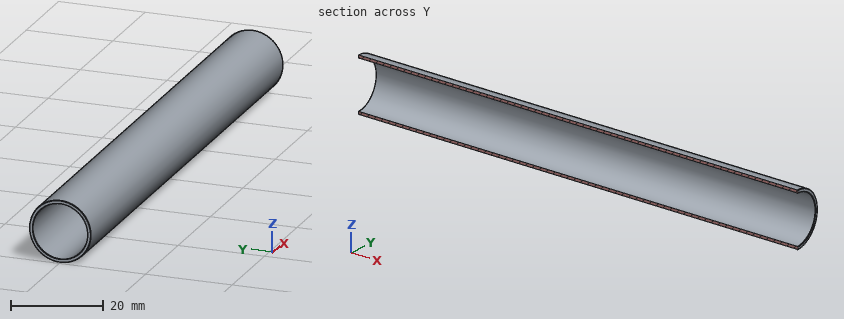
import cadquery as cq

length = 118.8
outer_diameter = 14.2
bore_diameter = 12.6
edge_chamfer = 0.13

tube = (
    cq.Workplane("YZ")
    .workplane(offset=-length / 2)
    .circle(outer_diameter / 2)
    .circle(bore_diameter / 2)
    .extrude(length)
)

result = tube.faces("|X").edges().chamfer(edge_chamfer)